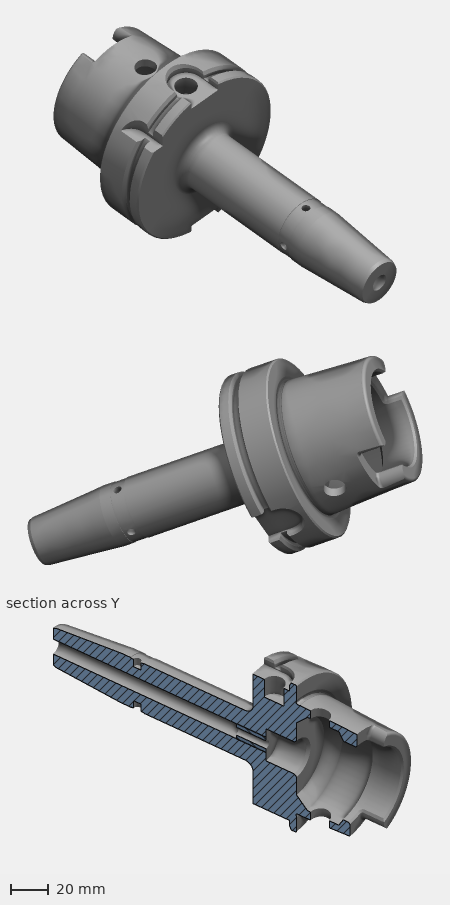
import cadquery as cq
import math


TOLERANCE = 0.01

SHANK_LENGTH = 50.0
OVERALL_LENGTH = 209.95
TIP_X = OVERALL_LENGTH - SHANK_LENGTH

TAPER_RATIO = 1 / 9.98
SHANK_BASE_RADIUS = 37.6
SHANK_END_RADIUS = SHANK_BASE_RADIUS - SHANK_LENGTH * TAPER_RATIO / 2
SHANK_END_FILLET = 1.8
RELIEF_LENGTH = 2.6
RELIEF_DEPTH = 0.3
RELIEF_FLANK = 0.7
FACE_RELIEF_RADIUS = 39.7
FACE_RELIEF_FLOOR_RADIUS = 38.4

MOUTH_RADIUS = 26.5
MOUTH_END_X = -30.4
MOUTH_CHAMFER = 1.1
CLAMP_RADIUS = 31.5
CLAMP_LEAD_ANGLE = 60.0
FLOOR_RADIUS = 24.5
FLOOR_X = 0.0
CLAMP_LEAD_LENGTH = (CLAMP_RADIUS - MOUTH_RADIUS) / math.tan(math.radians(CLAMP_LEAD_ANGLE))
CLAMP_END_X = FLOOR_X - (CLAMP_RADIUS - FLOOR_RADIUS)

COOLANT_RADIUS = 10.7
COOLANT_CHAMFER = 1.6
COOLANT_DEPTH = 20.0

DRIVE_SLOT_WIDTH = 20.0
DRIVE_SLOT_EDGE_RADIUS = 6.0
DRIVE_SLOT_EDGE_Z = 26.5
DRIVE_SLOT_FLOOR_FILLET = 1.5
UPPER_DRIVE_SLOT_DEPTH = 10.3
LOWER_DRIVE_SLOT_DEPTH = 15.0

CROSS_HOLE_DIAMETER = 12.0
CROSS_HOLE_X = -15.2

FLANGE_RADIUS = 50.0
FLANGE_LENGTH = 29.0
FLANGE_CHAMFER = 0.8
GROOVE_CENTRE_X = 20.0
GROOVE_FLOOR_RADIUS = 45.9
GROOVE_FLOOR_WIDTH = 3.7
GROOVE_MOUTH_WIDTH = 6.0
GROOVE_FLARE_DEPTH = 2.0

MILLING_CENTRE_X = 15.0
KEY_SLOT_WIDTH = 20.0
KEY_SLOT_FLOOR_Z = 44.0
KEY_SLOT_CHAMFER = 1.2
KEY_SLOT_CHAMFER_Z = 47.5
CHIP_HOLE_DIAMETER = 12.5
CHIP_HOLE_DEPTH = 12.0
NOTCH_OFFSET = 31.3
NOTCH_END_RADIUS = 10.0

NECK_RADIUS = 17.0
NECK_FILLET = 5.0
BAND_START_X = 100.8
BAND_END_X = 109.0
BAND_RADIUS = 16.7
NOSE_START_X = 115.3
NOSE_END_RADIUS = 13.5
NOSE_CHAMFER = 0.8
NOSE_CHAMFER_LENGTH = 2.0
BAND_HOLE_DIAMETER = 4.6
BAND_HOLE_DEPTH = 5.0

SCREW_RADIUS = 4.9
SCREW_LENGTH = 20.0
SCREW_BORE_DIAMETER = 5.0


def turned(points):
    """Revolve a closed (x, radius) outline about the X axis."""
    return cq.Workplane("XZ").polyline(points).close().revolve(360, (0, 0, 0), (1, 0, 0))


def drill_down(x, top_z, bottom_z, diameter):
    """A cylinder along Z at the given X, between two heights."""
    plane = cq.Workplane("XY", origin=(x, 0, bottom_z))
    return plane.circle(diameter / 2).extrude(top_z - bottom_z)


def shank_blank():
    outline = [
        (-SHANK_LENGTH, 0),
        (-SHANK_LENGTH, SHANK_END_RADIUS),
        (0, SHANK_BASE_RADIUS),
        (0, 0),
    ]
    blank = turned(outline)
    return blank.faces("<X").edges().fillet(SHANK_END_FILLET)


def hollow():
    return turned([
        (-SHANK_LENGTH, 0),
        (-SHANK_LENGTH, MOUTH_RADIUS),
        (MOUTH_END_X, MOUTH_RADIUS),
        (MOUTH_END_X + CLAMP_LEAD_LENGTH, CLAMP_RADIUS),
        (CLAMP_END_X, CLAMP_RADIUS),
        (FLOOR_X, FLOOR_RADIUS),
        (FLOOR_X, COOLANT_RADIUS + COOLANT_CHAMFER),
        (FLOOR_X + COOLANT_CHAMFER, COOLANT_RADIUS),
        (FLOOR_X + COOLANT_DEPTH, COOLANT_RADIUS),
        (FLOOR_X + COOLANT_DEPTH, 0),
    ])


def drive_slot(depth):
    """Slot cutter on the +Z side, flaring outward where it leaves the shank."""
    half = DRIVE_SLOT_WIDTH / 2
    edge = DRIVE_SLOT_EDGE_RADIUS
    bend = edge * math.sqrt(0.5)
    flare = half + edge
    top = DRIVE_SLOT_EDGE_Z + edge
    outside = SHANK_BASE_RADIUS + edge
    far = flare + edge
    cutter = (
        cq.Workplane("YZ", origin=(-SHANK_LENGTH, 0, 0))
        .moveTo(-half, 0)
        .lineTo(-half, DRIVE_SLOT_EDGE_Z)
        .threePointArc((-flare + bend, DRIVE_SLOT_EDGE_Z + bend), (-flare, top))
        .lineTo(-far, top)
        .lineTo(-far, outside)
        .lineTo(far, outside)
        .lineTo(far, top)
        .lineTo(flare, top)
        .threePointArc((flare - bend, DRIVE_SLOT_EDGE_Z + bend), (half, DRIVE_SLOT_EDGE_Z))
        .lineTo(half, 0)
        .close()
        .extrude(depth)
    )
    return cutter.faces(">X").edges("not <Z").edges("not >Z").fillet(DRIVE_SLOT_FLOOR_FILLET)


def is_mouth_edge(edge):
    """True for edges that lie on the mouth cylinder, in front of the clamping recess."""
    ends = [edge.startPoint(), edge.endPoint(), edge.positionAt(0.5)]
    on_mouth = all(abs(math.hypot(p.y, p.z) - MOUTH_RADIUS) < TOLERANCE for p in ends)
    return on_mouth and edge.Center().x < MOUTH_END_X - MOUTH_CHAMFER


def make_shank():
    shank = shank_blank().cut(hollow())
    shank = shank.cut(drive_slot(UPPER_DRIVE_SLOT_DEPTH))
    lower_slot = drive_slot(LOWER_DRIVE_SLOT_DEPTH).rotate((0, 0, 0), (1, 0, 0), 180)
    shank = shank.cut(lower_slot)
    mouth_edges = [edge for edge in shank.edges().vals() if is_mouth_edge(edge)]
    shank = shank.newObject(mouth_edges).chamfer(MOUTH_CHAMFER)
    cross_hole = drill_down(CROSS_HOLE_X, FLANGE_RADIUS, -FLANGE_RADIUS, CROSS_HOLE_DIAMETER)
    return shank.cut(cross_hole)


def make_head():
    """Flange, neck and nose turned in one outline."""
    groove_floor = GROOVE_FLOOR_WIDTH / 2
    groove_mouth = GROOVE_MOUTH_WIDTH / 2
    flare_radius = FLANGE_RADIUS - GROOVE_FLARE_DEPTH
    bend = NECK_FILLET * (1 - math.sqrt(0.5))
    outline = (
        cq.Workplane("XZ")
        .moveTo(0, 0)
        .lineTo(0, FLANGE_RADIUS - FLANGE_CHAMFER)
        .lineTo(FLANGE_CHAMFER, FLANGE_RADIUS)
        .lineTo(GROOVE_CENTRE_X - groove_mouth, FLANGE_RADIUS)
        .lineTo(GROOVE_CENTRE_X - groove_floor, flare_radius)
        .lineTo(GROOVE_CENTRE_X - groove_floor, GROOVE_FLOOR_RADIUS)
        .lineTo(GROOVE_CENTRE_X + groove_floor, GROOVE_FLOOR_RADIUS)
        .lineTo(GROOVE_CENTRE_X + groove_floor, flare_radius)
        .lineTo(GROOVE_CENTRE_X + groove_mouth, FLANGE_RADIUS)
        .lineTo(FLANGE_LENGTH - FLANGE_CHAMFER, FLANGE_RADIUS)
        .lineTo(FLANGE_LENGTH, FLANGE_RADIUS - FLANGE_CHAMFER)
        .lineTo(FLANGE_LENGTH, NECK_RADIUS + NECK_FILLET)
        .threePointArc(
            (FLANGE_LENGTH + bend, NECK_RADIUS + bend),
            (FLANGE_LENGTH + NECK_FILLET, NECK_RADIUS),
        )
        .lineTo(BAND_START_X, NECK_RADIUS)
        .lineTo(BAND_START_X, BAND_RADIUS)
        .lineTo(BAND_END_X, BAND_RADIUS)
        .lineTo(BAND_END_X, NECK_RADIUS)
        .lineTo(NOSE_START_X, NECK_RADIUS)
        .lineTo(TIP_X - NOSE_CHAMFER_LENGTH, NOSE_END_RADIUS)
        .lineTo(TIP_X, NOSE_END_RADIUS - NOSE_CHAMFER)
        .lineTo(TIP_X, 0)
        .close()
    )
    return outline.revolve(360, (0, 0, 0), (1, 0, 0))


def corner_relief():
    """Shallow grooves in the shank and the flange face where the two meet."""
    shank_floor = SHANK_BASE_RADIUS - RELIEF_DEPTH
    return turned([
        (-RELIEF_LENGTH, SHANK_BASE_RADIUS),
        (RELIEF_FLANK - RELIEF_LENGTH, shank_floor),
        (-RELIEF_FLANK, shank_floor),
        (RELIEF_DEPTH, SHANK_BASE_RADIUS),
        (RELIEF_DEPTH, FACE_RELIEF_FLOOR_RADIUS),
        (0, FACE_RELIEF_RADIUS),
        (-RELIEF_LENGTH, FACE_RELIEF_RADIUS),
    ])


def key_slot():
    """Round-ended slot cutter on the +Z side, open toward the neck, with chamfered edges."""
    reach = FLANGE_LENGTH - MILLING_CENTRE_X + KEY_SLOT_WIDTH

    def outline(z):
        plane = cq.Workplane("XY", origin=(MILLING_CENTRE_X + reach / 2, 0, z))
        return plane.slot2D(reach + KEY_SLOT_WIDTH, KEY_SLOT_WIDTH)

    slot = outline(KEY_SLOT_FLOOR_Z).extrude(FLANGE_RADIUS - KEY_SLOT_FLOOR_Z)
    chamfer_height = FLANGE_RADIUS - KEY_SLOT_CHAMFER_Z
    chamfer_angle = math.degrees(math.atan(KEY_SLOT_CHAMFER / chamfer_height))
    return slot.union(outline(KEY_SLOT_CHAMFER_Z).extrude(chamfer_height, taper=-chamfer_angle))


def index_notch():
    """Step at the -Y, +Z side of the flange, with a round end from the cutter."""
    reach = FLANGE_LENGTH - MILLING_CENTRE_X + NOTCH_END_RADIUS
    plane = cq.Workplane(
        "XY",
        origin=(MILLING_CENTRE_X + reach / 2, -NOTCH_OFFSET - NOTCH_END_RADIUS, NOTCH_OFFSET),
    )
    return plane.slot2D(reach + 2 * NOTCH_END_RADIUS, 2 * NOTCH_END_RADIUS).extrude(FLANGE_RADIUS)


def make_holder():
    holder = make_head().cut(hollow()).union(make_shank())
    holder = holder.cut(corner_relief())
    for angle in (0, 180):
        holder = holder.cut(key_slot().rotate((0, 0, 0), (1, 0, 0), angle))
    holder = holder.cut(index_notch())
    chip_hole = drill_down(
        MILLING_CENTRE_X, FLANGE_RADIUS, KEY_SLOT_FLOOR_Z - CHIP_HOLE_DEPTH, CHIP_HOLE_DIAMETER
    )
    holder = holder.cut(chip_hole)
    band_hole = drill_down(
        (BAND_START_X + BAND_END_X) / 2,
        NECK_RADIUS,
        BAND_RADIUS - BAND_HOLE_DEPTH,
        BAND_HOLE_DIAMETER,
    )
    for angle in (0, 90, 180, 270):
        holder = holder.cut(band_hole.rotate((0, 0, 0), (1, 0, 0), angle))
    centre_bore = cq.Workplane("YZ").circle(SCREW_RADIUS).extrude(TIP_X)
    return holder.cut(centre_bore)


def make_screw():
    """Hollow stop screw in the centre bore, flush with the coolant recess."""
    plane = cq.Workplane("YZ", origin=(FLOOR_X + COOLANT_DEPTH, 0, 0))
    return plane.circle(SCREW_RADIUS).circle(SCREW_BORE_DIAMETER / 2).extrude(SCREW_LENGTH)


holder = make_holder()
screw = make_screw()
result = cq.Compound.makeCompound([holder.val(), screw.val()])